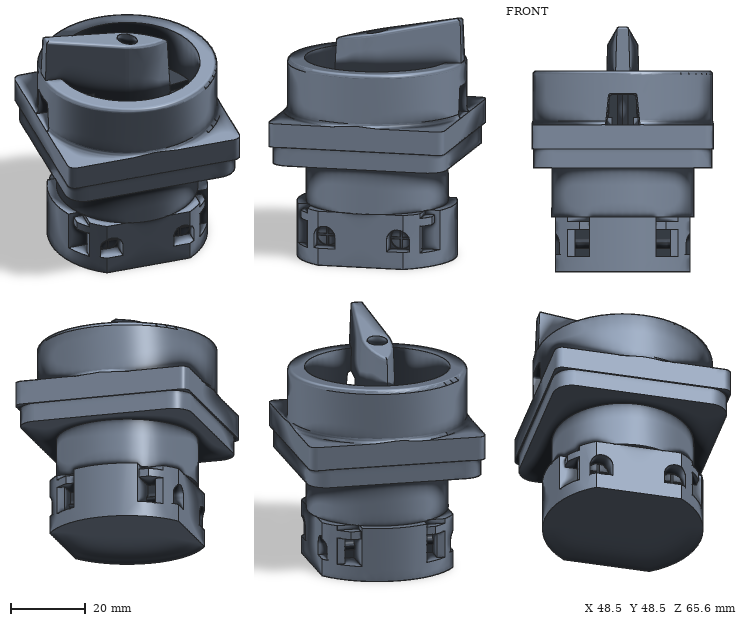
import cadquery as cq
import math

Z_BASE_TOP = 14.75
Z_NECK_TOP = 27.9
Z_FLANGE_TOP = 32.9
Z_PLATE_TOP = 39.35
Z_DISC_TOP = 41.3
Z_RIM = 53.85
Z_TOP = 65.6

CUT_MARGIN = 1.3

BASE_RADIUS = 21.5
BASE_FLAT_X = 18.05

SLOT_X_OUTER = 14.8
SLOT_X_INNER = 8.9
SLOT_BOTTOM = 4.05
SLOT_BACK_Y = 15.55
LIP_Y = 18.1
LIP_BOTTOM = 11.35
LIP_TOP = 13.5
CAVITY_X_OUTER = 12.7
LEDGE_RADIUS = 1.4

SCREW_Y = 10.15
SCREW_Z = 7.7
HEAD_RADIUS = 2.9
HEAD_HEIGHT = 0.45
CROSS_WIDTH = 0.6
CROSS_DEPTH = 0.3
WELL_RADIUS = 3.0
WELL_DEPTH = 4.6

NECK_RADIUS = 19.0
FLANGE_SIDE = 47.75
FLANGE_CORNER = 5.2
PLATE_SIDE = 48.5
PLATE_CORNER = 2.1

RING_RADIUS = 24.1
BORE_RADIUS = 19.5
RING_FILLET = 1.05

RECESS_Y = 12.3
RECESS_HALF_INNER = 3.7
RECESS_HALF_OUTER = 4.85

WINDOW_HALF_BOTTOM = 4.7
WINDOW_HALF_TOP = 3.9
WINDOW_HEIGHT = 8.5
WINDOW_CORNER = 0.8
WINDOW_TAPER = 4.0
CHANNEL_HALF = 2.8
CHANNEL_BACK_Y = -10.5
WEDGE_HALF = 1.45
WEDGE_DEPTH = 2.5

HANDLE_TIP_Y = 12.2
HANDLE_HALF = 4.7
HANDLE_SHOULDER_Y = -0.85
HANDLE_STRAIGHT = 1.05
HANDLE_END_Y = -24.15
HANDLE_END_HALF = 2.3
HANDLE_DRAFT = 2.0
HANDLE_FILLET = 0.85
HANDLE_SLOPE = 11.5
CREST_Y = -22.35
HANDLE_HOLE_RADIUS = 2.7
HANDLE_HOLE_FLOOR = 51.8


def block(x0, x1, y0, y1, z0, z1):
    """Axis-aligned box between the given limits."""
    return cq.Workplane("XY").box(x1 - x0, y1 - y0, z1 - z0, centered=False).translate((x0, y0, z0))


def disc(radius, z0, z1):
    """Upright cylinder on the Z axis."""
    return cq.Workplane("XY").workplane(offset=z0).circle(radius).extrude(z1 - z0)


def rounded_square(side, corner, z0, z1):
    """Square plate with rounded vertical edges."""
    plate = cq.Workplane("XY").workplane(offset=z0).rect(side, side).extrude(z1 - z0)
    return plate.edges("|Z").fillet(corner)


def in_all_quadrants(shape):
    """The shape in the -X -Y quadrant together with its three mirror copies."""
    pair = shape.union(shape.mirror("YZ"))
    return pair.union(pair.mirror("XZ"))


def terminal_slot():
    """Slot crossed by a lip, with a deeper cavity holding a ledge: coved on top, rounded below."""
    slot = block(-SLOT_X_OUTER, -SLOT_X_INNER, -BASE_RADIUS, -SLOT_BACK_Y, SLOT_BOTTOM, Z_BASE_TOP)
    lip = block(-SLOT_X_OUTER, -SLOT_X_INNER, -LIP_Y, -SLOT_BACK_Y, LIP_BOTTOM, LIP_TOP)
    cavity = block(-CAVITY_X_OUTER, -SLOT_X_INNER, -SLOT_BACK_Y, -SCREW_Y, SLOT_BOTTOM, LIP_BOTTOM)
    round_mid = LEDGE_RADIUS * math.sqrt(0.5)
    ledge = (
        cq.Workplane("YZ", origin=(-CAVITY_X_OUTER, -SCREW_Y, SCREW_Z))
        .moveTo(0, LEDGE_RADIUS)
        .threePointArc((round_mid - LEDGE_RADIUS, LEDGE_RADIUS - round_mid), (-LEDGE_RADIUS, 0))
        .threePointArc((-round_mid, -round_mid), (0, -LEDGE_RADIUS))
        .close()
        .extrude(CAVITY_X_OUTER - SLOT_X_INNER)
    )
    return slot.cut(lip).union(cavity).cut(ledge)


def screw_well():
    """Arched well in the flat, less the cross-slotted screw head on its floor."""
    floor_x = -BASE_FLAT_X + WELL_DEPTH
    face_x = floor_x - HEAD_HEIGHT
    mouth = cq.Workplane("YZ", origin=(-BASE_FLAT_X, -SCREW_Y, SCREW_Z))
    well = mouth.circle(WELL_RADIUS).extrude(WELL_DEPTH)
    well = well.union(
        mouth.center(0, -WELL_RADIUS / 2).rect(2 * WELL_RADIUS, WELL_RADIUS).extrude(WELL_DEPTH)
    )
    face = cq.Workplane("YZ", origin=(face_x, -SCREW_Y, SCREW_Z))
    head = face.circle(HEAD_RADIUS).extrude(HEAD_HEIGHT)
    head = head.cut(face.rect(2 * HEAD_RADIUS, CROSS_WIDTH).extrude(CROSS_DEPTH))
    head = head.cut(face.rect(CROSS_WIDTH, 2 * HEAD_RADIUS).extrude(CROSS_DEPTH))
    return well.cut(head)


def terminal_base():
    """Flatted cylinder with four slots and four screw wells."""
    base = disc(BASE_RADIUS, 0, Z_BASE_TOP)
    base = base.intersect(
        block(-BASE_FLAT_X, BASE_FLAT_X, -BASE_RADIUS, BASE_RADIUS, 0, Z_BASE_TOP)
    )
    base = base.cut(in_all_quadrants(terminal_slot()))
    return base.cut(in_all_quadrants(screw_well()))


def padlock_window():
    """Round-cornered trapezoid opening that narrows toward the bore; it starts below the plate top."""
    side_slope = (WINDOW_HALF_BOTTOM - WINDOW_HALF_TOP) / WINDOW_HEIGHT
    depth = RING_RADIUS + RING_FILLET - BORE_RADIUS + CUT_MARGIN
    half_low = WINDOW_HALF_BOTTOM + CUT_MARGIN * side_slope
    opening = (
        cq.Workplane("XZ", origin=(0, -RING_RADIUS - RING_FILLET, Z_PLATE_TOP))
        .polyline([
            (-half_low, -CUT_MARGIN),
            (half_low, -CUT_MARGIN),
            (WINDOW_HALF_TOP, WINDOW_HEIGHT),
            (-WINDOW_HALF_TOP, WINDOW_HEIGHT),
        ])
        .close()
        .extrude(-depth, taper=WINDOW_TAPER)
    )
    top_corners = cq.selectors.BoxSelector(
        (-half_low, -PLATE_SIDE, Z_DISC_TOP), (half_low, 0, Z_RIM)
    )
    return opening.edges("not(#Y)").edges("not(|X)").edges(top_corners).fillet(WINDOW_CORNER)


def guard_ring():
    """Ring with a rounded rim and a flared foot trimmed to the plate outline."""
    fillet_mid = RING_FILLET * math.sqrt(0.5)
    foot_radius = RING_RADIUS + RING_FILLET
    foot_z = Z_PLATE_TOP + RING_FILLET
    shoulder_z = Z_RIM - RING_FILLET
    ring = (
        cq.Workplane("XZ")
        .moveTo(BORE_RADIUS, Z_PLATE_TOP)
        .lineTo(foot_radius, Z_PLATE_TOP)
        .threePointArc((foot_radius - fillet_mid, foot_z - fillet_mid), (RING_RADIUS, foot_z))
        .lineTo(RING_RADIUS, shoulder_z)
        .threePointArc(
            (RING_RADIUS - RING_FILLET + fillet_mid, shoulder_z + fillet_mid),
            (RING_RADIUS - RING_FILLET, Z_RIM),
        )
        .lineTo(BORE_RADIUS, Z_RIM)
        .close()
        .revolve(360, (0, 0, 0), (0, 1, 0))
    )
    ring = ring.intersect(rounded_square(PLATE_SIDE, PLATE_CORNER, Z_PLATE_TOP, Z_RIM))
    return ring.cut(padlock_window())


def bore_disc():
    """Disc at the bottom of the bore, with the tip recess and the lock channel cut out of it."""
    half_growth = (RECESS_HALF_OUTER - RECESS_HALF_INNER) / (BORE_RADIUS - RECESS_Y)
    recess_end = BORE_RADIUS + CUT_MARGIN
    end_half = RECESS_HALF_INNER + half_growth * (recess_end - RECESS_Y)
    recess = (
        cq.Workplane("XY", origin=(0, 0, Z_PLATE_TOP))
        .polyline([
            (-RECESS_HALF_INNER, RECESS_Y),
            (RECESS_HALF_INNER, RECESS_Y),
            (end_half, recess_end),
            (-end_half, recess_end),
        ])
        .close()
        .extrude(Z_DISC_TOP - Z_PLATE_TOP)
    )
    channel = block(
        -CHANNEL_HALF, CHANNEL_HALF, -BORE_RADIUS, CHANNEL_BACK_Y, Z_PLATE_TOP, Z_DISC_TOP
    )
    return disc(BORE_RADIUS, Z_PLATE_TOP, Z_DISC_TOP).cut(recess).cut(channel)


def lock_gap():
    """Room under the handle that carries the window through to the channel's back wall."""
    gap_top = Z_PLATE_TOP + WINDOW_HEIGHT
    return block(
        -HANDLE_HALF, HANDLE_HALF, -BORE_RADIUS, CHANNEL_BACK_Y, Z_PLATE_TOP, gap_top
    )


def lock_wedge():
    """Vertical wedge on the back wall, pointing out through the window."""
    return (
        cq.Workplane("XY", origin=(0, 0, Z_PLATE_TOP))
        .polyline([
            (-WEDGE_HALF, CHANNEL_BACK_Y),
            (0, CHANNEL_BACK_Y - WEDGE_DEPTH),
            (WEDGE_HALF, CHANNEL_BACK_Y),
        ])
        .close()
        .extrude(WINDOW_HEIGHT)
    )


def handle():
    """Drafted pointed handle with a sloped, rounded top; it overhangs the rim on the -Y side."""
    arc_run = HANDLE_TIP_Y - HANDLE_SHOULDER_Y
    arc_radius = (HANDLE_HALF**2 + arc_run**2) / (2 * HANDLE_HALF)
    half_angle = math.asin(arc_run / arc_radius) / 2
    arc_mid_x = HANDLE_HALF - arc_radius * (1 - math.cos(half_angle))
    arc_mid_y = HANDLE_SHOULDER_Y + arc_radius * math.sin(half_angle)
    straight_y = HANDLE_SHOULDER_Y - HANDLE_STRAIGHT
    body = (
        cq.Workplane("XY", origin=(0, 0, Z_DISC_TOP))
        .moveTo(0, HANDLE_TIP_Y)
        .threePointArc((arc_mid_x, arc_mid_y), (HANDLE_HALF, HANDLE_SHOULDER_Y))
        .lineTo(HANDLE_HALF, straight_y)
        .lineTo(HANDLE_END_HALF, HANDLE_END_Y)
        .lineTo(-HANDLE_END_HALF, HANDLE_END_Y)
        .lineTo(-HANDLE_HALF, straight_y)
        .lineTo(-HANDLE_HALF, HANDLE_SHOULDER_Y)
        .threePointArc((-arc_mid_x, arc_mid_y), (0, HANDLE_TIP_Y))
        .close()
        .extrude(Z_TOP + CUT_MARGIN - Z_DISC_TOP, taper=HANDLE_DRAFT)
    )
    above_slope = (
        cq.Workplane("XY")
        .box(PLATE_SIDE, 2 * PLATE_SIDE, Z_TOP, centered=(True, True, False))
        .rotate((0, 0, 0), (1, 0, 0), -HANDLE_SLOPE)
        .translate((0, CREST_Y, Z_TOP))
    )
    body = body.cut(above_slope)
    body = body.faces(">Z").edges().fillet(HANDLE_FILLET)
    under_rim = disc(PLATE_SIDE, Z_DISC_TOP, Z_RIM).cut(disc(BORE_RADIUS, Z_DISC_TOP, Z_RIM))
    body = body.cut(under_rim)
    body = body.cut(disc(HANDLE_HOLE_RADIUS, HANDLE_HOLE_FLOOR, Z_TOP))
    return body.cut(lock_gap())


result = terminal_base()
result = result.union(disc(NECK_RADIUS, Z_BASE_TOP, Z_NECK_TOP))
result = result.union(rounded_square(FLANGE_SIDE, FLANGE_CORNER, Z_NECK_TOP, Z_FLANGE_TOP))
result = result.union(rounded_square(PLATE_SIDE, PLATE_CORNER, Z_FLANGE_TOP, Z_PLATE_TOP))
result = result.union(guard_ring()).union(bore_disc()).union(handle()).union(lock_wedge())